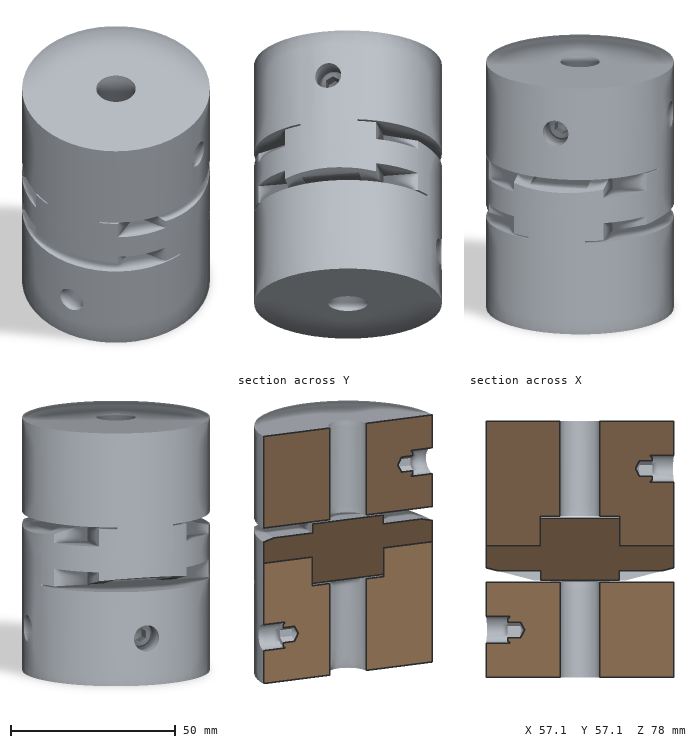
import cadquery as cq
import math


total_length = 78.0
outer_diameter = 57.1
outer_radius = outer_diameter / 2
mid_height = total_length / 2

hub_length = 29.0
bore_diameter = 12.0
tooth_width = 17.8
tooth_height = 9.05
tooth_inner_offset = 12.0

screw_diameter = 8.0
screw_length = 16.0
screw_chamfer = 0.6
socket_across_flats = 4.0
socket_depth = 3.9
socket_tip_depth = 1.2
screw_height = hub_length / 2
screw_radius = screw_diameter / 2
screw_head_offset = bore_diameter / 2 + screw_length

axial_gap = 0.55
disc_thickness = total_length - 2 * (hub_length + axial_gap)
half_thickness = disc_thickness / 2
slot_depth = tooth_height - axial_gap
corner_offset = 14.1
corner_notch_depth = 5.45
flank_drop = 3.75
flank_pocket_depth = 2.8

half_turn_start = (0, 0, mid_height)
half_turn_end = (0.8, -0.8, mid_height)


def radial_bar(inner, width, bottom, top):
    """Rectangular bar along +X from `inner` to the outer radius, centred on Y."""
    length = outer_radius - inner
    return (
        cq.Workplane("XY", origin=(inner + length / 2, 0, bottom))
        .rect(length, width)
        .extrude(top - bottom)
    )


def turned(shape, angle):
    return shape.rotate((0, 0, 0), (0, 0, 1), angle)


def make_screw_cavity():
    """Space left open in front of a set screw that lies along +X."""
    hole = (
        cq.Workplane("YZ", origin=(screw_head_offset, 0, screw_height))
        .circle(screw_radius)
        .extrude(outer_radius - screw_head_offset)
    )
    chamfer_groove = (
        cq.Workplane("XY", origin=(0, 0, screw_height))
        .moveTo(screw_head_offset, screw_radius - screw_chamfer)
        .lineTo(screw_head_offset, screw_radius)
        .lineTo(screw_head_offset - screw_chamfer, screw_radius)
        .close()
        .revolve(360, (0, 0, 0), (1, 0, 0))
    )
    corner_radius = socket_across_flats / math.sqrt(3)
    hexagon = (
        cq.Workplane("YZ", origin=(screw_head_offset, 0, screw_height))
        .transformed(rotate=(0, 0, 90))
        .polygon(6, 2 * corner_radius)
        .extrude(-(socket_depth + socket_tip_depth))
    )
    pointed_rod = (
        cq.Workplane("XY", origin=(screw_head_offset, 0, screw_height))
        .lineTo(0, corner_radius)
        .lineTo(-socket_depth, corner_radius)
        .lineTo(-socket_depth - socket_tip_depth, 0)
        .close()
        .revolve(360, (0, 0, 0), (1, 0, 0))
    )
    socket = hexagon.intersect(pointed_rod)
    return hole.union(chamfer_groove).union(socket)


def make_hub():
    """Lower hub: bored cylinder with teeth at -X and +X and set screws at -X and -Y."""
    hub = cq.Workplane("XY").circle(outer_radius).extrude(hub_length + tooth_height)
    tooth_zone = (
        cq.Workplane("XY", origin=(0, 0, hub_length))
        .rect(outer_diameter, outer_diameter)
        .extrude(tooth_height)
    )
    tooth = radial_bar(tooth_inner_offset, tooth_width, hub_length, hub_length + tooth_height)
    for angle in (0, 180):
        tooth_zone = tooth_zone.cut(turned(tooth, angle))
    hub = hub.cut(tooth_zone)

    bore = cq.Workplane("XY").circle(bore_diameter / 2).extrude(hub_length)
    hub = hub.cut(bore)

    screw_cavity = make_screw_cavity()
    for angle in (180, 270):
        hub = hub.cut(turned(screw_cavity, angle))
    return hub


def make_upper_face_cuts():
    """Everything removed from the upper face of the disc."""
    top = mid_height + half_thickness

    slot = radial_bar(tooth_inner_offset, tooth_width, top - slot_depth, top)
    cuts = [turned(slot, angle) for angle in (90, 270)]

    flank = (
        cq.Workplane("XZ")
        .moveTo(corner_offset, top)
        .lineTo(outer_radius, top)
        .lineTo(outer_radius, top - flank_drop)
        .close()
        .extrude(outer_radius, both=True)
    )
    pocket = radial_bar(tooth_inner_offset, tooth_width, top - flank_pocket_depth, top)
    for angle in (0, 180):
        cuts.append(turned(flank, angle))
        cuts.append(turned(pocket, angle))

    notch_size = outer_radius - corner_offset
    notch_centre = corner_offset + notch_size / 2
    notch = (
        cq.Workplane("XY", origin=(notch_centre, notch_centre, top - corner_notch_depth))
        .rect(notch_size, notch_size)
        .extrude(corner_notch_depth)
    )
    cuts += [turned(notch, angle) for angle in (0, 90, 180, 270)]
    return cuts


def make_disc():
    disc = (
        cq.Workplane("XY", origin=(0, 0, mid_height - half_thickness))
        .circle(outer_radius)
        .extrude(disc_thickness)
    )
    for cut in make_upper_face_cuts():
        disc = disc.cut(cut)
        disc = disc.cut(cut.rotate(half_turn_start, half_turn_end, 180))
    return disc


lower_hub = make_hub()
upper_hub = lower_hub.rotate(half_turn_start, half_turn_end, 180)
disc = make_disc()

result = cq.Compound.makeCompound([body.solids().val() for body in (lower_hub, upper_hub, disc)])